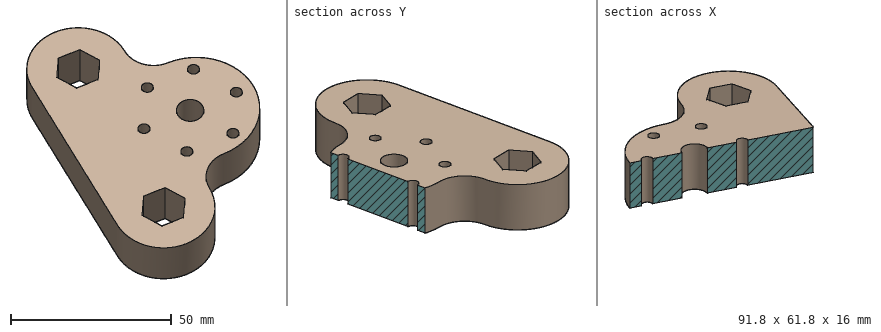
import cadquery as cq
import math

THICKNESS = 16.0
WIDTH = 91.81
DEPTH = 61.85
LOBE_RADIUS = 16.0
HUB_RADIUS = 19.7
BLEND_RADIUS = 9.95
HEX_ACROSS_FLATS = 12.9
BORE_DIAMETER = 8.5
BORE_Y = 24.0
BOLT_CIRCLE_RADIUS = 16.0
BOLT_HOLE_DIAMETER = 3.7
BOLT_HOLE_COUNT = 6
FIRST_BOLT_ANGLE = 90.0

LOBE_X = WIDTH / 2 - LOBE_RADIUS
HUB_TOP_Y = DEPTH - LOBE_RADIUS
HUB_Y = HUB_TOP_Y - HUB_RADIUS
BLEND_X = HUB_RADIUS + BLEND_RADIUS
BLEND_Y = LOBE_RADIUS + BLEND_RADIUS
BLEND_DIAGONAL = BLEND_RADIUS * math.sqrt(0.5)
HEX_ACROSS_CORNERS = HEX_ACROSS_FLATS / math.cos(math.pi / 6)


def make_body():
    """Three-lobed plate with a straight lower edge and concave blends beside the hub."""
    return (
        cq.Workplane("XY")
        .moveTo(-LOBE_X, -LOBE_RADIUS)
        .lineTo(LOBE_X, -LOBE_RADIUS)
        .threePointArc((LOBE_X + LOBE_RADIUS, 0), (LOBE_X, LOBE_RADIUS))
        .lineTo(BLEND_X, LOBE_RADIUS)
        .threePointArc((BLEND_X - BLEND_DIAGONAL, BLEND_Y - BLEND_DIAGONAL), (HUB_RADIUS, BLEND_Y))
        .lineTo(HUB_RADIUS, HUB_Y)
        .threePointArc((0, HUB_TOP_Y), (-HUB_RADIUS, HUB_Y))
        .lineTo(-HUB_RADIUS, BLEND_Y)
        .threePointArc((-BLEND_X + BLEND_DIAGONAL, BLEND_Y - BLEND_DIAGONAL), (-BLEND_X, LOBE_RADIUS))
        .lineTo(-LOBE_X, LOBE_RADIUS)
        .threePointArc((-LOBE_X - LOBE_RADIUS, 0), (-LOBE_X, -LOBE_RADIUS))
        .close()
        .extrude(THICKNESS)
    )


def make_hex_holes():
    """Hexagonal through holes with two flats parallel to Y."""
    holes = cq.Workplane("XY")
    for x in (-LOBE_X, LOBE_X):
        hole = (
            cq.Workplane("XY")
            .center(x, 0)
            .transformed(rotate=(0, 0, 90))
            .polygon(6, HEX_ACROSS_CORNERS)
            .extrude(THICKNESS)
        )
        holes = holes.add(hole)
    return holes.combine()


def make_bore():
    """Round through hole at the centre of the bolt circle."""
    return cq.Workplane("XY").center(0, BORE_Y).circle(BORE_DIAMETER / 2).extrude(THICKNESS)


def make_bolt_holes():
    """Ring of small through holes around the bore."""
    return (
        cq.Workplane("XY")
        .center(0, BORE_Y)
        .polarArray(BOLT_CIRCLE_RADIUS, FIRST_BOLT_ANGLE, 360, BOLT_HOLE_COUNT)
        .circle(BOLT_HOLE_DIAMETER / 2)
        .extrude(THICKNESS)
    )


result = make_body().cut(make_hex_holes()).cut(make_bore()).cut(make_bolt_holes())